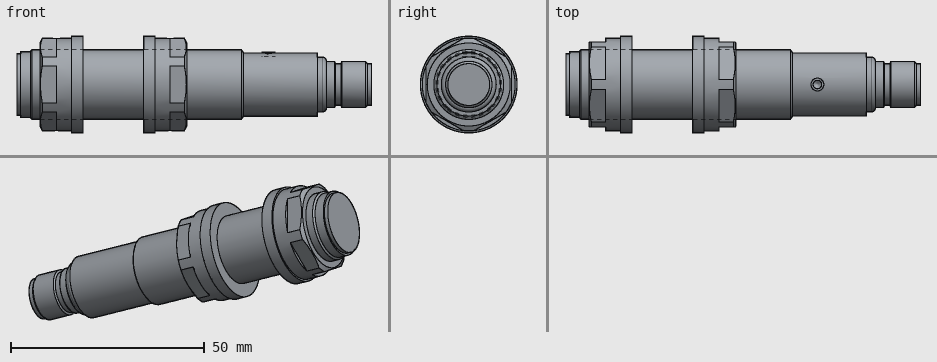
import cadquery as cq
import math


cap_step_x = 1.0
cap_end_x = 3.5
sleeve_end_x = 58.5
housing_end_x = 77.6
collar_round_x = 78.9
groove_start_x = 82.0
groove_end_x = 83.9
tip_chamfer_start_x = 89.95
tip_chamfer_end_x = 90.5
overall_length = 91.6

cap_face_radius = 8.0
cap_radius = 8.5
sleeve_radius = 18.0 / 2
barrel_radius = 16.4 / 2
collar_radius = 14.2 / 2
plug_radius = 12.0 / 2
groove_radius = 5.4
sleeve_front_chamfer_length = 0.5
sleeve_rear_chamfer_length = 0.55
groove_chamfer = 0.3

nut_length = 11.2
flange_thickness = 3.0
flange_radius = 25.0 / 2
nut_radius = 12.0
nut_face_radius = 10.7
nut_chamfer_length = 0.6
hexagon_sides = 6
across_flats = 22.0
flats_length = 4.3
front_nut_x = 5.95
rear_nut_x = 43.9

indicator_x = 64.9
indicator_radius = 1.65
indicator_height = 0.2
indicator_top_z = barrel_radius + indicator_height
indicator_depth = 1.1
dimple_radius = 1.1
dimple_depth = 0.7


def turn(profile):
    """Revolve a profile drawn in the XY plane about the X axis."""
    return profile.close().revolve(360, (0, 0, 0), (1, 0, 0))


def make_cap():
    return turn(
        cq.Workplane("XY")
        .moveTo(0, 0)
        .lineTo(0, cap_face_radius)
        .lineTo(cap_step_x, cap_face_radius)
        .lineTo(cap_step_x, cap_radius)
        .lineTo(cap_end_x, cap_radius)
        .lineTo(cap_end_x, 0)
    )


def make_indicator_blank():
    """Plain cylinder that fills the indicator seat and stands proud of the barrel."""
    return (
        cq.Workplane("XY", origin=(indicator_x, 0, indicator_top_z))
        .circle(indicator_radius)
        .extrude(-indicator_depth)
    )


def make_housing():
    """Sleeve and slimmer barrel in one piece, with a blind seat for the indicator."""
    body = turn(
        cq.Workplane("XY")
        .moveTo(cap_end_x, 0)
        .lineTo(cap_end_x, cap_radius)
        .lineTo(cap_end_x + sleeve_front_chamfer_length, sleeve_radius)
        .lineTo(sleeve_end_x - sleeve_rear_chamfer_length, sleeve_radius)
        .lineTo(sleeve_end_x, barrel_radius)
        .lineTo(housing_end_x, barrel_radius)
        .lineTo(housing_end_x, 0)
    )
    return body.cut(make_indicator_blank())


def make_connector():
    """Plug with a rounded collar, a groove behind it and a stepped tip."""
    round_radius = collar_radius - plug_radius
    round_mid = round_radius * math.sqrt(0.5)
    return turn(
        cq.Workplane("XY")
        .moveTo(housing_end_x, 0)
        .lineTo(housing_end_x, collar_radius)
        .lineTo(collar_round_x, collar_radius)
        .threePointArc(
            (collar_round_x + round_mid, plug_radius + round_mid),
            (collar_round_x + round_radius, plug_radius),
        )
        .lineTo(groove_start_x, plug_radius)
        .lineTo(groove_start_x + groove_chamfer, groove_radius)
        .lineTo(groove_end_x - groove_chamfer, groove_radius)
        .lineTo(groove_end_x, plug_radius)
        .lineTo(tip_chamfer_start_x, plug_radius)
        .lineTo(tip_chamfer_end_x, groove_radius)
        .lineTo(overall_length, groove_radius)
        .lineTo(overall_length, 0)
    )


def make_nut(face_x, direction):
    """Nut with its chamfered face at face_x and its flange towards direction (+1 or -1) along X."""
    flange_start = nut_length - flange_thickness
    body = turn(
        cq.Workplane("XY")
        .moveTo(0, sleeve_radius)
        .lineTo(0, nut_face_radius)
        .lineTo(nut_chamfer_length, nut_radius)
        .lineTo(flange_start, nut_radius)
        .lineTo(flange_start, flange_radius)
        .lineTo(nut_length, flange_radius)
        .lineTo(nut_length, sleeve_radius)
    )
    corner_diameter = across_flats / math.cos(math.pi / hexagon_sides)
    outside_hexagon = (
        cq.Workplane("YZ")
        .circle(flange_radius)
        .extrude(flats_length)
        .cut(
            cq.Workplane("YZ")
            .transformed(rotate=(0, 0, 90))
            .polygon(hexagon_sides, corner_diameter)
            .extrude(flats_length)
        )
    )
    nut = body.cut(outside_hexagon)
    if direction < 0:
        nut = nut.rotate((0, 0, 0), (0, 0, 1), 180)
    return nut.translate((face_x, 0, 0))


def make_indicator():
    """Round indicator with a conical dimple in its flat top."""
    dimple = cq.Workplane(
        cq.Solid.makeCone(
            dimple_radius,
            0,
            dimple_depth,
            cq.Vector(indicator_x, 0, indicator_top_z),
            cq.Vector(0, 0, -1),
        )
    )
    return make_indicator_blank().cut(dimple)


cap = make_cap()
housing = make_housing()
connector = make_connector()
nuts = [make_nut(face_x, direction) for face_x, direction in ((front_nut_x, 1), (rear_nut_x, -1))]
indicator = make_indicator()

result = cq.Compound.makeCompound(
    [cap.val(), housing.val(), connector.val(), *[nut.val() for nut in nuts], indicator.val()]
)